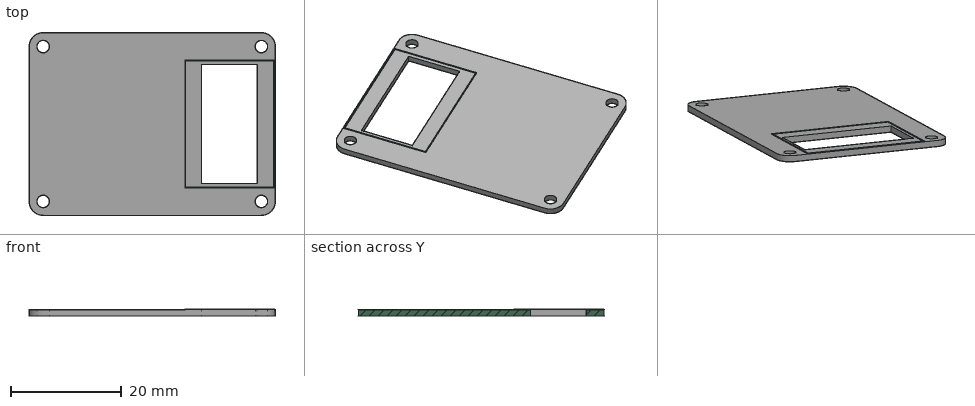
import cadquery as cq

board_length = 44.45
board_width = 33.02
corner_radius = 2.54

overall_thickness = 1.26
frame_line_height = 0.1
board_thickness = overall_thickness - frame_line_height

hole_diameter = 2.2
hole_edge_offset = corner_radius

window_length = 10.0
window_width = 21.4
window_center_x = 13.92

frame_length = 16.0
frame_width = 22.9
frame_center_x = 13.97
frame_line_width = 0.12


def make_board():
    """Flat rectangular board with rounded corners, standing on Z = 0."""
    board = cq.Workplane("XY").box(
        board_length, board_width, board_thickness, centered=(True, True, False)
    )
    return board.edges("|Z").fillet(corner_radius)


def cut_mounting_holes(board):
    """One through hole near each corner."""
    spacing_x = board_length - 2 * hole_edge_offset
    spacing_y = board_width - 2 * hole_edge_offset
    holes = (
        cq.Workplane("XY")
        .rect(spacing_x, spacing_y, forConstruction=True)
        .vertices()
        .circle(hole_diameter / 2)
        .extrude(board_thickness)
    )
    return board.cut(holes)


def cut_window(board):
    """Rectangular opening through the full thickness."""
    window = (
        cq.Workplane("XY")
        .center(window_center_x, 0)
        .rect(window_length, window_width)
        .extrude(board_thickness)
    )
    return board.cut(window)


def add_frame_line(board):
    """Thin raised line tracing a rectangle around the window on the top face."""
    frame = (
        cq.Workplane("XY", origin=(frame_center_x, 0, board_thickness))
        .rect(frame_length + frame_line_width, frame_width + frame_line_width)
        .rect(frame_length - frame_line_width, frame_width - frame_line_width)
        .extrude(frame_line_height)
    )
    return board.union(frame)


result = make_board()
result = cut_mounting_holes(result)
result = cut_window(result)
result = add_frame_line(result)